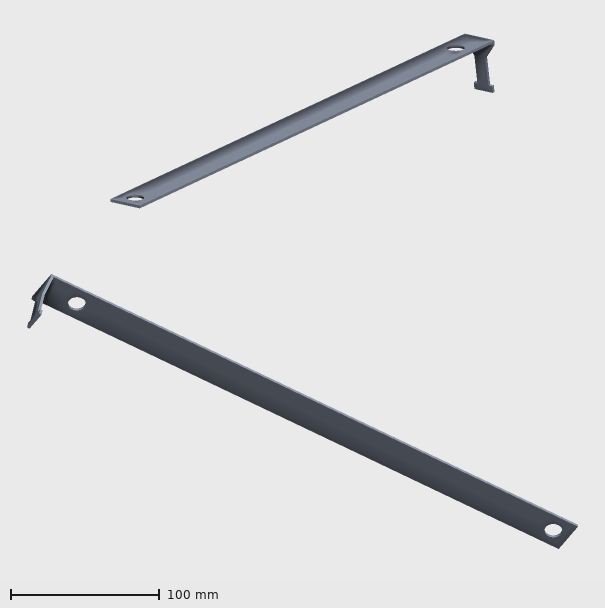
import cadquery as cq
import math

strip_width = 24.0
strip_length = 420.0
thickness = 2.0

hole_diameter = 12.0
front_hole_y = 12.0
hole_spacing = 380.0

tab_length = 40.0
tab_lean = 10.0
shoulder_depth = 3.5
neck_start = 14.0
neck_width = 9.0
foot_width = 15.0
foot_height = 5.0


def make_strip():
    """Flat bar with its two mounting holes."""
    bar = cq.Workplane("XY").box(
        strip_width, strip_length, thickness, centered=(True, False, False)
    )
    bar = bar.translate((0, 0, -thickness))
    hole_centres = [(0, front_hole_y), (0, front_hole_y + hole_spacing)]
    holes = (
        cq.Workplane("XY")
        .pushPoints(hole_centres)
        .circle(hole_diameter / 2)
        .extrude(-thickness)
    )
    return bar.cut(holes)


def make_tab():
    """Tapered tab with a wider foot, leaning outward from the strip's end edge."""
    lean = math.radians(tab_lean)
    outer_face = cq.Plane(
        origin=(0, strip_length, 0),
        xDir=(1, 0, 0),
        normal=(0, -math.cos(lean), -math.sin(lean)),
    )
    foot_top = foot_height - tab_length
    half_outline = [
        (0, 0),
        (strip_width / 2, 0),
        (strip_width / 2, -shoulder_depth),
        (neck_width / 2, -neck_start),
        (neck_width / 2, foot_top),
        (foot_width / 2, foot_top),
        (foot_width / 2, -tab_length),
        (0, -tab_length),
    ]
    half_tab = cq.Workplane(outer_face).polyline(half_outline).close().extrude(thickness)
    return half_tab.union(half_tab.mirror("YZ"))


result = make_strip().union(make_tab()).clean()